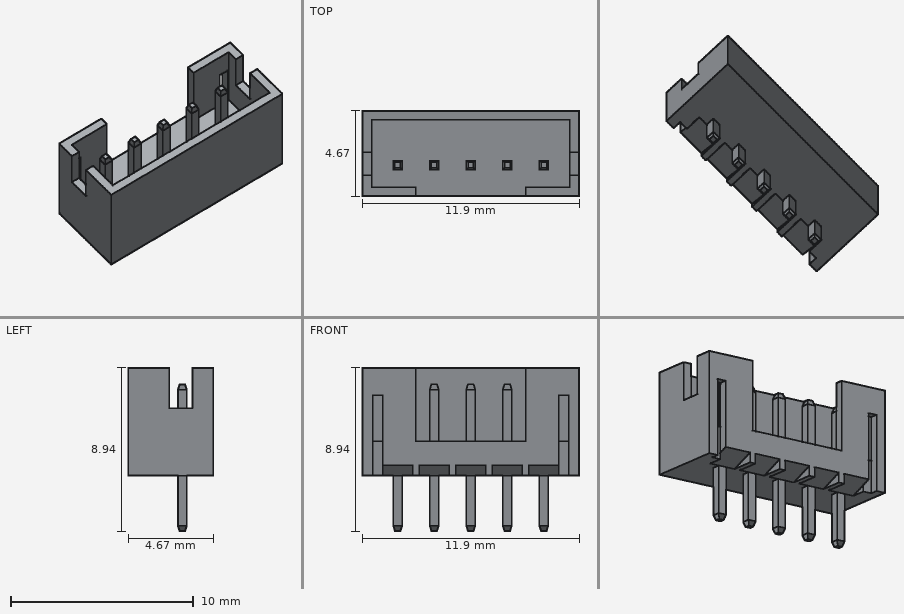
import cadquery as cq

length = 11.86
width = 4.67
height = 5.9
wall = 0.5
floor_top = 1.87
front_y = -1.7
back_y = front_y + width

window_width = 6.0
notch_front = 1.15
notch_width = 1.26
notch_bottom = 3.7
slot_width = 0.53
slot_inset = 0.57
slot_top = 4.39

recess_height = 0.57
rib_width = 0.36

pin_count = 5
pitch = 2.0
pin_size = 0.5
pin_top = 5.0
pin_bottom = -3.04
tip_height = 0.3
tip_size = 0.3

recess_end_y = -pin_size / 2


def box(x0, x1, y0, y1, z0, z1):
    """Axis-aligned box between two opposite corners."""
    return cq.Workplane("XY").box(x1 - x0, y1 - y0, z1 - z0, centered=False).translate((x0, y0, z0))


def make_shell():
    """Open-topped box with a thick floor."""
    half = length / 2
    outer = box(-half, half, front_y, back_y, 0, height)
    cavity = box(-half + wall, half - wall, front_y + wall, back_y - wall, floor_top, height)
    return outer.cut(cavity)


def cut_wall_openings(body):
    """Front window, end-wall notches and corner slots."""
    half = length / 2
    inner_front = front_y + wall
    window = box(-window_width / 2, window_width / 2, front_y, inner_front, floor_top, height)
    notch_y = front_y + notch_front
    notches = box(-half, half, notch_y, notch_y + notch_width, notch_bottom, height)
    slot_start = -half + slot_inset
    slot = box(slot_start, slot_start + slot_width, front_y, inner_front, 0, slot_top)
    return body.cut(window).cut(notches).cut(slot).cut(slot.mirror("YZ"))


def cut_recesses(body):
    """Shallow sloped recesses in the underside between the corner slots, one in front of each pin."""
    edge_x = length / 2 - slot_inset - slot_width
    half_span = (pitch - rib_width) / 2
    starts = [x - half_span for x in pin_positions()]
    ends = [x + half_span for x in pin_positions()]
    starts[0] = -edge_x
    ends[-1] = edge_x
    for start, end in zip(starts, ends):
        wedge = (
            cq.Workplane("YZ", origin=(start, 0, 0))
            .moveTo(front_y, 0)
            .lineTo(recess_end_y, 0)
            .lineTo(front_y, recess_height)
            .close()
            .extrude(end - start)
        )
        body = body.cut(wedge)
    return body


def pin_positions():
    """X position of each pin, centred on the housing."""
    return [(i - (pin_count - 1) / 2) * pitch for i in range(pin_count)]


def make_pin(x):
    """Square pin with a tapered tip at both ends."""
    shank_bottom = pin_bottom + tip_height
    shank_top = pin_top - tip_height
    half = pin_size / 2
    shank = box(x - half, x + half, -half, half, shank_bottom, shank_top)
    upper_tip = make_tip(x, shank_top, tip_height)
    lower_tip = make_tip(x, shank_bottom, -tip_height)
    return shank.union(upper_tip).union(lower_tip)


def make_tip(x, base_z, rise):
    """Tapered square tip growing from base_z by a signed rise."""
    return (
        cq.Workplane("XY", origin=(x, 0, base_z))
        .rect(pin_size, pin_size)
        .workplane(offset=rise)
        .rect(tip_size, tip_size)
        .loft(ruled=True)
    )


result = cut_recesses(cut_wall_openings(make_shell()))
for pin_x in pin_positions():
    result = result.union(make_pin(pin_x))